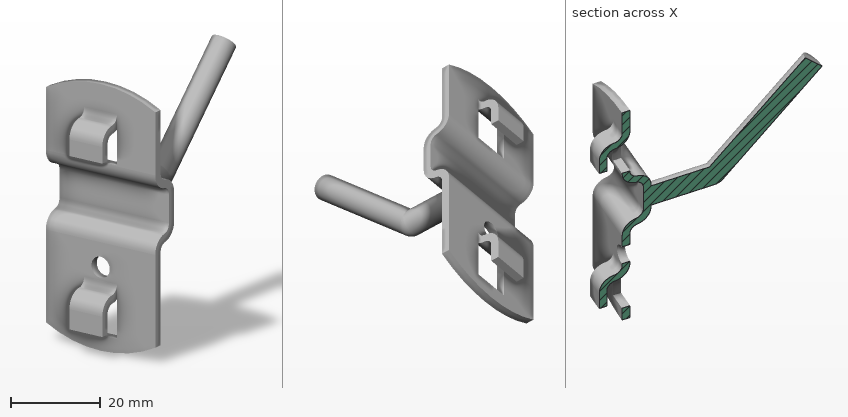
import cadquery as cq
import math

plate_width = 30.0
plate_height = 63.0
side_height = 55.55
thickness = 2.0
bend_radius = 3.0

band_center_z = 3.5
band_flat_height = 6.8
band_offset = 5.2

hook_width = 9.0
hook_offset = 5.7
hook_gap = 2.0
upper_hook_top = 25.15
upper_hook_tip = 15.2
lower_hook_top = -14.9
lower_hook_tip = -25.75

hole_diameter = 5.0
hole_z = -11.8

rod_diameter = 6.0
elbow_y = 22.85
rod_rise_angle = 45.0
rising_length = 34.8


def box(width, y_min, y_max, z_min, z_max):
    """Box centred on X = 0."""
    return cq.Workplane("XY").box(width, y_max - y_min, z_max - z_min).translate(
        (0, (y_min + y_max) / 2, (z_min + z_max) / 2)
    )


def joggle_height(offset):
    """Height of an S-bend of two equal arcs that shifts the sheet by offset."""
    angle = math.acos(1 - offset / 2 / bend_radius)
    return 2 * bend_radius * math.sin(angle)


def joggle(width, y_start, z_start, offset, z_direction):
    """S-bend leaving a vertical sheet centred at y_start and shifting it by offset in Y."""
    y_direction = math.copysign(1, offset)
    angle = math.acos(1 - abs(offset) / 2 / bend_radius)
    height = joggle_height(abs(offset))
    inner = bend_radius - thickness / 2
    outer = bend_radius + thickness / 2

    def first_arc(radius, turn):
        y = y_start + y_direction * (bend_radius - radius * math.cos(turn))
        z = z_start + z_direction * radius * math.sin(turn)
        return (y, z)

    def second_arc(radius, turn):
        y, z = first_arc(radius, turn)
        return (2 * y_start + offset - y, 2 * z_start + z_direction * height - z)

    return (
        cq.Workplane("YZ")
        .moveTo(*first_arc(inner, 0))
        .threePointArc(first_arc(inner, angle / 2), first_arc(inner, angle))
        .threePointArc(second_arc(outer, angle / 2), second_arc(outer, 0))
        .lineTo(*second_arc(inner, 0))
        .threePointArc(second_arc(inner, angle / 2), second_arc(inner, angle))
        .threePointArc(first_arc(outer, angle / 2), first_arc(outer, 0))
        .close()
        .extrude(width / 2, both=True)
    )


def make_plate():
    """Flat plate with bowed ends and a raised band."""
    half_width = plate_width / 2
    half_side = side_height / 2
    half_height = plate_height / 2
    plate = (
        cq.Workplane("XZ")
        .moveTo(-half_width, -half_side)
        .threePointArc((0, -half_height), (half_width, -half_side))
        .lineTo(half_width, half_side)
        .threePointArc((0, half_height), (-half_width, half_side))
        .close()
        .extrude(-thickness)
    )
    half_flat = band_flat_height / 2
    half_band = half_flat + joggle_height(band_offset)
    plate = plate.cut(
        box(plate_width, 0, thickness, band_center_z - half_band, band_center_z + half_band)
    )
    band = box(
        plate_width,
        band_offset,
        band_offset + thickness,
        band_center_z - half_flat,
        band_center_z + half_flat,
    )
    for side in (-1, 1):
        bend_z = band_center_z + side * half_band
        band = band.union(joggle(plate_width, thickness / 2, bend_z, band_offset, -side))
    return plate.union(band)


def add_hook(plate, top, tip):
    """Open a window in the plate and hang a forward hook from its top edge."""
    window = box(hook_width, 0, thickness, tip - hook_gap, top)
    bend = joggle(hook_width, thickness / 2, top, -hook_offset, -1)
    tongue = box(hook_width, -hook_offset, thickness - hook_offset, tip, top - joggle_height(hook_offset))
    return plate.cut(window).union(bend).union(tongue)


def make_rod():
    """Round rod from the back of the band, bent upward at a ball elbow."""
    radius = rod_diameter / 2
    band_back = band_offset + thickness
    rise = math.radians(rod_rise_angle)
    elbow = cq.Vector(0, elbow_y, band_center_z)
    level = cq.Solid.makeCylinder(
        radius, elbow_y - band_back, cq.Vector(0, band_back, band_center_z), cq.Vector(0, 1, 0)
    )
    rising = cq.Solid.makeCylinder(
        radius, rising_length, elbow, cq.Vector(0, math.cos(rise), math.sin(rise))
    )
    ball = cq.Workplane("XY").sphere(radius).translate(elbow)
    return ball.union(cq.Workplane(level)).union(cq.Workplane(rising))


bracket = make_plate()
bracket = add_hook(bracket, upper_hook_top, upper_hook_tip)
bracket = add_hook(bracket, lower_hook_top, lower_hook_tip)

screw_hole = (
    cq.Workplane("XZ").center(0, hole_z).circle(hole_diameter / 2).extrude(-thickness)
)
result = bracket.cut(screw_hole).union(make_rod())